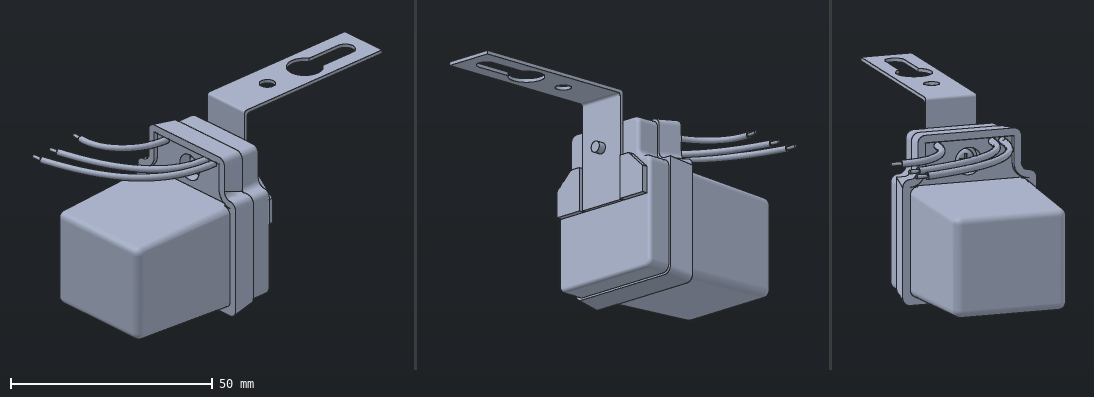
import cadquery as cq
import math


RIM_HALF_WIDTH = 17.7
RIM_NECK_HALF_WIDTH = 13.7
RIM_STEP_Z = 32.2
RIM_TOP_Z = 43.15
CORNER_RADIUS = 2.0
BODY_INSET = 1.4
FLARE_START_INSET = 0.85
FLARE_START_Y = -6.5
MOUTH_Y = -13.4
BACK_EDGE_RADIUS = 1.0
WALL = 2.0
FLOOR_Y = -12.4

BOX_FRONT_Y = -43.9
BOX_FRONT_HALF_WIDTH = 14.8
BOX_FRONT_INSET_Z = 1.15
BOX_EDGE_RADIUS = 2.0

SHEET = 1.0
BRACKET_WIDTH = 13.5
BRACKET_END_Y = 47.1
BRACKET_TOP_Z = 49.3
BEND_INNER_RADIUS = 0.8
BEND_OUTER_RADIUS = 0.8
KEYHOLE_Y = 27.0
KEYHOLE_DIAMETER = 9.1
KEYHOLE_SLOT_WIDTH = 5.0
KEYHOLE_SLOT_END_Y = 43.3
ROUND_HOLE_Y = 14.2
ROUND_HOLE_DIAMETER = 4.0

PAD_THICKNESS = 1.6
PAD_HALF_WIDTH = 15.25
PAD_GAP = 14.4
PAD_BOTTOM_Z = 20.6
PAD_SHOULDER_Z = 27.5
PAD_TOP_Z = 31.9
PAD_TOP_HALF_WIDTH = RIM_NECK_HALF_WIDTH - BODY_INSET - CORNER_RADIUS

SCREW_Z = 35.4
SCREW_SHANK_DIAMETER = 2.9
SCREW_SHANK_END_Y = 3.1
SCREW_HEAD_DIAMETER = 5.0
SCREW_HEAD_HEIGHT = 1.5
SCREW_HEAD_RADIUS = 1.0
RECESS_DIAMETER = 7.0
RECESS_FLOOR_Y = -9.0
CROSS_SLOT_WIDTH = 0.55
CROSS_SLOT_DEPTH = 0.5

WIRE_Z = 40.0
WIRE_DIAMETER = 1.8
CONDUCTOR_DIAMETER = 1.0
CONDUCTOR_CHAMFER = 0.3
WIRE_ROOT = 0.5
WIRES = [
    (-8.2, (-11.5, -22.3), (-23.2, -27.6), 176, 175, 2.95),
    (6.2, (-1.2, -27.5), (-22.0, -36.5), 193, 189, 2.7),
    (8.9, (4.8, -27.2), (-21.8, -42.3), 193, 182, 3.1),
]


def block(x_min, x_max, y_min, y_max, z_min, z_max):
    """Axis-aligned block between the given limits."""
    size = (x_max - x_min, y_max - y_min, z_max - z_min)
    return cq.Workplane("XY").box(*size, centered=False).translate((x_min, y_min, z_min))


def cylinder_along_y(diameter, z, y_from, y_to):
    """Cylinder on X = 0 at height z, between two Y positions."""
    plane = cq.Plane(origin=(0, y_from, z), xDir=(1, 0, 0), normal=(0, 1, 0))
    return cq.Workplane(plane).circle(diameter / 2).extrude(y_to - y_from)


def stepped_outline(inset, y):
    """Housing outline at depth y: the rim outline moved in by inset, with equal corner radii."""
    wide = RIM_HALF_WIDTH - inset
    narrow = RIM_NECK_HALF_WIDTH - inset
    bottom = inset
    step = RIM_STEP_Z - inset
    top = RIM_TOP_Z - inset
    right = [(wide, bottom), (wide, step), (narrow, step), (narrow, top)]
    left = [(-x, z) for x, z in reversed(right)]
    outline = cq.Wire.makePolygon([cq.Vector(x, y, z) for x, z in right + left], close=True)
    return outline.fillet2D(CORNER_RADIUS, outline.Vertices())


def make_housing():
    """Straight back part, flared rim and open cavity."""
    depth = cq.Vector(0, FLARE_START_Y, 0)
    body = cq.Workplane(cq.Solid.extrudeLinear(stepped_outline(BODY_INSET, 0), [], depth))
    body = body.faces(">Y").edges().fillet(BACK_EDGE_RADIUS)
    flare_start = stepped_outline(FLARE_START_INSET, FLARE_START_Y)
    mouth = stepped_outline(0, MOUTH_Y)
    rim = cq.Workplane(cq.Solid.makeLoft([flare_start, mouth], True))
    cavity_outline = mouth.offset2D(-WALL, "intersection")[0]
    taper = FLARE_START_INSET * (FLOOR_Y - MOUTH_Y) / (FLARE_START_Y - MOUTH_Y)
    floor_outline = cavity_outline.offset2D(-taper, "intersection")[0]
    floor_outline = floor_outline.translate(cq.Vector(0, FLOOR_Y - MOUTH_Y, 0))
    cavity = cq.Workplane(cq.Solid.makeLoft([cavity_outline, floor_outline], True))
    return body.union(rim).cut(cavity)


def make_box():
    """Block that tapers from the mouth to its front face and continues straight to the floor."""
    half_width = RIM_HALF_WIDTH - WALL
    bottom = WALL
    top = RIM_STEP_Z - WALL
    height = top - bottom
    width = 2 * half_width
    front_height = height - 2 * BOX_FRONT_INSET_Z
    plane = cq.Plane(origin=(0, MOUTH_Y, (bottom + top) / 2), xDir=(1, 0, 0), normal=(0, -1, 0))
    box = (
        cq.Workplane(plane)
        .rect(width, height)
        .workplane(offset=MOUTH_Y - BOX_FRONT_Y)
        .rect(2 * BOX_FRONT_HALF_WIDTH, front_height)
        .loft(ruled=True)
    )
    box = box.edges("not >Y").fillet(BOX_EDGE_RADIUS)
    root = block(-half_width, half_width, MOUTH_Y, FLOOR_Y, bottom, top)
    return box.union(root)


def make_bracket():
    """L-shaped strip: upper leg with its holes, lower leg flat against the back face."""
    half_width = BRACKET_WIDTH / 2
    profile = [
        (0, PAD_BOTTOM_Z),
        (0, BRACKET_TOP_Z),
        (BRACKET_END_Y, BRACKET_TOP_Z),
        (BRACKET_END_Y, BRACKET_TOP_Z - SHEET),
        (SHEET, BRACKET_TOP_Z - SHEET),
        (SHEET, PAD_BOTTOM_Z),
    ]
    strip = cq.Workplane("YZ").polyline(profile).close().extrude(half_width, both=True)
    strip = strip.edges("|X and <Y and >Z").fillet(BEND_OUTER_RADIUS)
    inner_corner = cq.selectors.NearestToPointSelector((0, SHEET, BRACKET_TOP_Z - SHEET))
    strip = strip.edges("|X").edges(inner_corner).fillet(BEND_INNER_RADIUS)

    slot_length = KEYHOLE_SLOT_END_Y - KEYHOLE_Y + KEYHOLE_SLOT_WIDTH / 2
    slot_center_y = KEYHOLE_SLOT_END_Y - slot_length / 2
    keyhole = (
        cq.Workplane("XY", origin=(0, 0, BRACKET_TOP_Z))
        .center(0, KEYHOLE_Y)
        .circle(KEYHOLE_DIAMETER / 2)
        .extrude(-2 * SHEET)
    )
    slot = (
        cq.Workplane("XY", origin=(0, slot_center_y, BRACKET_TOP_Z))
        .slot2D(slot_length, KEYHOLE_SLOT_WIDTH, 90)
        .extrude(-2 * SHEET)
    )
    round_hole = (
        cq.Workplane("XY", origin=(0, ROUND_HOLE_Y, BRACKET_TOP_Z))
        .circle(ROUND_HOLE_DIAMETER / 2)
        .extrude(-2 * SHEET)
    )
    return strip.cut(keyhole).cut(slot).cut(round_hole)


def make_pads():
    """Two mirrored plates with sloped upper outer corners."""
    inner = PAD_GAP / 2
    outline = [
        (inner, PAD_BOTTOM_Z),
        (PAD_HALF_WIDTH, PAD_BOTTOM_Z),
        (PAD_HALF_WIDTH, PAD_SHOULDER_Z),
        (PAD_TOP_HALF_WIDTH, PAD_TOP_Z),
        (inner, PAD_TOP_Z),
    ]
    pad = cq.Workplane("XZ").polyline(outline).close().extrude(-PAD_THICKNESS)
    return pad.union(pad.mirror("YZ"))


def make_recess():
    """Round recess around the screw head."""
    return cylinder_along_y(RECESS_DIAMETER, SCREW_Z, FLOOR_Y, RECESS_FLOOR_Y)


def make_screw():
    """Rounded head with a cross slot, and the shank."""
    head_face_y = RECESS_FLOOR_Y - SCREW_HEAD_HEIGHT
    head = cylinder_along_y(SCREW_HEAD_DIAMETER, SCREW_Z, head_face_y, RECESS_FLOOR_Y)
    head = head.faces("<Y").edges().fillet(SCREW_HEAD_RADIUS)
    reach = SCREW_HEAD_DIAMETER / 2 - SCREW_HEAD_RADIUS
    half_slot = CROSS_SLOT_WIDTH / 2
    slot_floor_y = head_face_y + CROSS_SLOT_DEPTH
    for half_x, half_z in [(reach, half_slot), (half_slot, reach)]:
        slot = block(-half_x, half_x, head_face_y, slot_floor_y, SCREW_Z - half_z, SCREW_Z + half_z)
        head = head.cut(slot)
    shank = cylinder_along_y(SCREW_SHANK_DIAMETER, SCREW_Z, RECESS_FLOOR_Y, SCREW_SHANK_END_Y)
    return head.union(shank)


def direction_in_xy(angle):
    """Unit vector in the XY plane at the given angle in degrees from +X."""
    radians = math.radians(angle)
    return cq.Vector(math.cos(radians), math.sin(radians), 0)


def make_wire(root_x, middle, end, end_angle, conductor_angle, conductor_length):
    """Insulation swept along a smooth bend, then a straight bare conductor."""
    start = cq.Vector(root_x, FLOOR_Y + WIRE_ROOT, WIRE_Z)
    via = cq.Vector(*middle, WIRE_Z)
    tip = cq.Vector(*end, WIRE_Z)
    direction = direction_in_xy(conductor_angle)
    start_direction = cq.Vector(0, -1, 0)
    bend = cq.Edge.makeSpline([start, via, tip], [start_direction, direction_in_xy(end_angle)])
    section = cq.Workplane(cq.Plane(start, (0, 0, 1), start_direction)).circle(WIRE_DIAMETER / 2)
    insulation = section.sweep(cq.Workplane(cq.Wire.assembleEdges([bend])))
    conductor = (
        cq.Workplane(cq.Plane(tip, (0, 0, 1), direction))
        .circle(CONDUCTOR_DIAMETER / 2)
        .extrude(conductor_length)
        .faces(cq.selectors.DirectionMinMaxSelector(direction))
        .edges()
        .chamfer(CONDUCTOR_CHAMFER)
    )
    return insulation.union(conductor)


part = make_housing().union(make_box()).cut(make_recess())
part = part.union(make_bracket()).union(make_pads()).union(make_screw())
for wire in WIRES:
    part = part.union(make_wire(*wire))

result = part